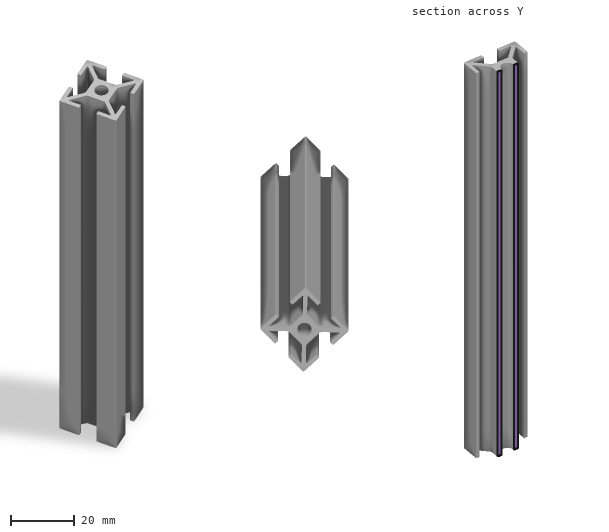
import cadquery as cq

length = 150.0
width = 20.0
wall = 1.4
slot_opening = 6.0
core_width = 8.1
web_thickness = 1.4
web_root_radius = 1.2
cavity_width = 14.7
bore_diameter = 4.5
corner_radius = 0.5
lip_edge_radius = 0.25

outer_face = width / 2
lip_inside = outer_face - wall
core_face = core_width / 2
web_offset = web_thickness / 2**0.5


def slot_cutter():
    """T-slot on the +Y side: a mouth through the wall and a cavity tapering to the core."""
    mouth = (
        cq.Workplane("XY")
        .center(0, outer_face)
        .rect(slot_opening, 2 * wall)
        .extrude(length)
    )
    cavity_side = cavity_width / 2
    floor_side = core_face - web_offset
    cavity = (
        cq.Workplane("XY")
        .polyline([
            (-cavity_side, lip_inside),
            (cavity_side, lip_inside),
            (cavity_side, cavity_side + web_offset),
            (floor_side, core_face),
            (-floor_side, core_face),
            (-cavity_side, cavity_side + web_offset),
        ])
        .close()
        .extrude(length)
        .edges("|Z and <Y")
        .fillet(web_root_radius)
    )
    return cavity.union(mouth)


body = cq.Workplane("XY").rect(width, width).extrude(length)
body = body.edges("|Z").fillet(corner_radius)
body = body.faces(">Z").workplane().hole(bore_diameter)

slot = slot_cutter()
for angle in (0, 90, 180, 270):
    body = body.cut(slot.rotate((0, 0, 0), (0, 0, 1), angle))

mouth_side = slot_opening / 2
for side in (-mouth_side, mouth_side):
    for face in (-outer_face, outer_face):
        for x, y in ((side, face), (face, side)):
            lip_edge = cq.selectors.NearestToPointSelector((x, y, length / 2))
            body = body.edges("|Z").edges(lip_edge).fillet(lip_edge_radius)

result = body.translate((0, 0, -length / 2))